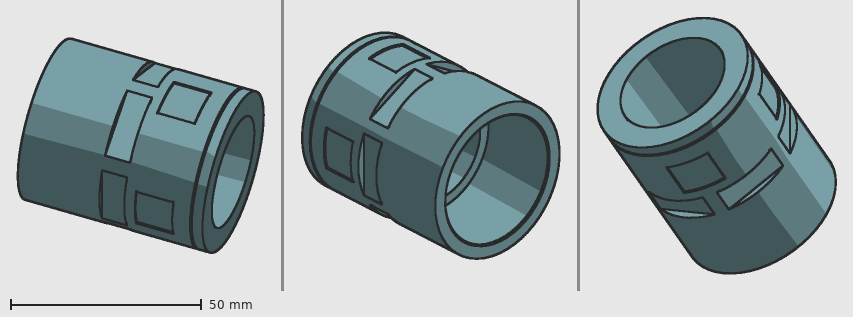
import cadquery as cq
import math

length = 52.0
outer_diameter = 44.0

socket_diameter = 36.24
socket_depth = 23.5
passage_diameter = 30.5
mouth_diameter = 37.0
mouth_chamfer = (mouth_diameter - socket_diameter) / 2

flat_count = 6
across_flats = 40.0
flats_start = 23.0
flats_width = 7.0

window_count = 4
window_start = 33.0
window_length = 10.5
window_width = 12.0
window_floor_diameter = 43.0

collar_width = 3.0
groove_width = 0.5
groove_diameter = 42.0


def cylinder(diameter, start, span):
    """Solid cylinder on the X axis."""
    return cq.Workplane("YZ", origin=(start, 0, 0)).circle(diameter / 2).extrude(span)


def ring(inner_diameter, start, span):
    """Ring from an inner diameter out to the sleeve's outside."""
    return cylinder(outer_diameter, start, span).cut(cylinder(inner_diameter, start, span))


def stepped_bore():
    """Socket, passage and the cone that breaks the mouth edge."""
    socket = cylinder(socket_diameter, 0, socket_depth)
    passage = cylinder(passage_diameter, 0, length)
    cone = cq.Solid.makeCone(
        mouth_diameter / 2,
        socket_diameter / 2,
        mouth_chamfer,
        pnt=cq.Vector(0, 0, 0),
        dir=cq.Vector(1, 0, 0),
    )
    return passage.union(socket).union(cq.Workplane(cone))


def wrench_flats():
    """Material outside the hexagon, over the width of the flats."""
    across_corners = across_flats / math.cos(math.pi / flat_count)
    hexagon = (
        cq.Workplane("YZ", origin=(flats_start, 0, 0))
        .polygon(flat_count, across_corners)
        .extrude(flats_width)
        .rotate((0, 0, 0), (1, 0, 0), 180 / flat_count)
    )
    return cylinder(outer_diameter, flats_start, flats_width).cut(hexagon)


def windows():
    """Parallel-sided recesses whose floors follow a smaller cylinder."""
    bars = cq.Workplane("YZ")
    turn = 360 / window_count
    for index in range(window_count):
        bar = (
            cq.Workplane("XY", origin=(window_start, 0, 0))
            .box(window_length, window_width, outer_diameter, centered=(False, True, False))
            .rotate((0, 0, 0), (1, 0, 0), index * turn)
        )
        bars = bars.union(bar)
    return ring(window_floor_diameter, window_start, window_length).intersect(bars)


def collar_groove():
    """Ring groove just inboard of the end collar."""
    return ring(groove_diameter, length - collar_width - groove_width, groove_width)


result = (
    cylinder(outer_diameter, 0, length)
    .cut(stepped_bore())
    .cut(wrench_flats())
    .cut(windows())
    .cut(collar_groove())
)